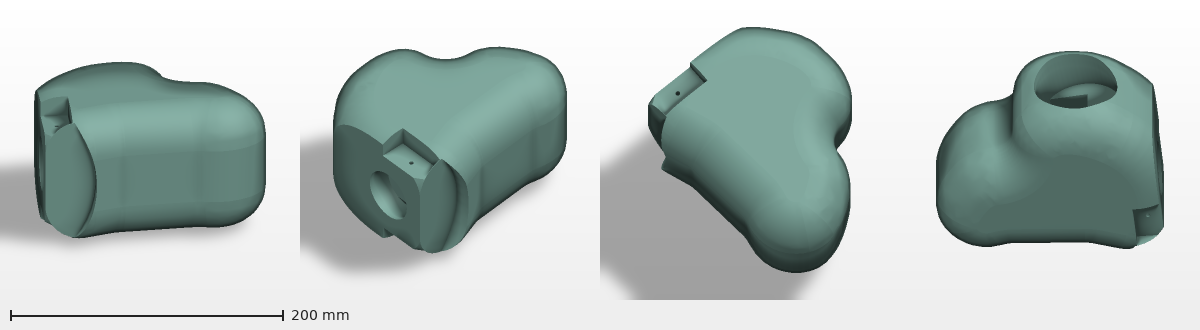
import cadquery as cq
import math

THICKNESS = 100.0
RIM_RADIUS = 30.0
CONVEX_RADIUS = RIM_RADIUS + 0.5

FACE_TILT = 35.0
ALONG_FACE = cq.Vector(math.cos(math.radians(FACE_TILT)), -math.sin(math.radians(FACE_TILT)), 0)
INTO_BLOCK = cq.Vector(math.sin(math.radians(FACE_TILT)), math.cos(math.radians(FACE_TILT)), 0)
FACE_PLANE = cq.Plane(origin=(0, 0, 0), xDir=ALONG_FACE, normal=-INTO_BLOCK)
CLEARANCE = 200.0

HEEL_CENTER = (2.0, CONVEX_RADIUS)
LOWER_TAIL_ANGLE = 75.0
UPPER_TAIL_ANGLE = 60.0
NECK_ANGLE = 40.0
TAIL_BEND = (37.0, 43.3)
TAIL_BEND_RADIUS = 14.0
NECK_CORNER = (65.3, 92.6)
NECK_RADIUS = 24.6
RIGHT_LOBE_RADIUS = 38.3
RIGHT_LOBE_END_ANGLE = 30.0
TIP_END_ANGLE = 72.0
TOP_CREST = [(49.5, 160.5), (35.0, 161.26), (17.1, 158.5), (7.4, 153.3)]
CLEFT_CENTER = (-14.6, 155.1)
CLEFT_START_ANGLE = -38.0
SHOULDER_CENTER = (-37.0, 113.4)
SHOULDER_END_ANGLE = 98.5
LEFT_LOBE = [(-56.8, 136.6), (-66.8, 127.0), (-75.3, 113.4), (-79.3, 105.2), (-82.1, 90.5)]
BELLY_RADIUS = 80.0
BELLY_CENTER = (-1.0, BELLY_RADIUS)
BELLY_START_ANGLE = 186.0

RECESS_RADIUS = 75.0
RECESS_CREST = 36.8

NOTCH_WIDTH = 40.0
NOTCH_DEPTH = 20.0
NOTCH_END_WALL = 0.2
NOTCH_FLOOR = 35.0
PIN_DIAMETER = 3.4
PIN_DEPTH = 15.0

FACE_BORE_DIAMETER = 40.0
FACE_BORE_OFFSET = 34.2
FACE_BORE_DEPTH = 18.0

SIDE_BORE_DIAMETER = 60.0
SIDE_BORE_TILT = 40.0
SIDE_BORE_END = (-33.3, 84.0)
SIDE_BORE_STEP = 20.0
CHAMBER_HEIGHT = 36.0
CHAMBER_SILL = 4.2
CHAMBER_LIP = 2.4
CHAMBER_ROOF_ANGLE = 7.0
CHAMBER_LEDGE_ANGLE = 30.0
CHAMBER_LEDGE_LENGTH = 14.5
CHAMBER_FACE_RIGHT = -29.0
CHAMBER_FACE_LEFT = -58.0


def polar(center, radius, degrees):
    a = math.radians(degrees)
    return (center[0] + radius * math.cos(a), center[1] + radius * math.sin(a))


def bend(corner, radius, angle_in, angle_out):
    """Start, middle and end of the arc that rounds a corner between two headings."""
    half_turn = (angle_out - angle_in) / 2
    reach = radius * math.tan(math.radians(abs(half_turn)))
    start = polar(corner, -reach, angle_in)
    side = math.copysign(90, half_turn)
    center = polar(start, radius, angle_in + side)
    middle = polar(center, radius, angle_in - side + half_turn)
    return start, middle, polar(corner, reach, angle_out)


def heading(degrees):
    return polar((0, 0), 1, degrees)


def outline():
    tail = bend(TAIL_BEND, TAIL_BEND_RADIUS, LOWER_TAIL_ANGLE, UPPER_TAIL_ANGLE)
    neck = bend(NECK_CORNER, NECK_RADIUS, UPPER_TAIL_ANGLE, NECK_ANGLE)
    heel_end = LOWER_TAIL_ANGLE - 90
    lobe_center = polar(neck[2], RIGHT_LOBE_RADIUS, NECK_ANGLE + 90)
    tip_center = polar(lobe_center, RIGHT_LOBE_RADIUS - CONVEX_RADIUS, RIGHT_LOBE_END_ANGLE)
    dip = (CLEFT_CENTER[0] - SHOULDER_CENTER[0], CLEFT_CENTER[1] - SHOULDER_CENTER[1])
    cleft_radius = math.hypot(*dip) - CONVEX_RADIUS
    shoulder_start = math.degrees(math.atan2(dip[1], dip[0]))
    cleft_top = polar(CLEFT_CENTER, cleft_radius, CLEFT_START_ANGLE)
    shoulder_top = polar(SHOULDER_CENTER, CONVEX_RADIUS, shoulder_start)
    cleft_middle = (CLEFT_START_ANGLE + shoulder_start - 180) / 2
    shoulder_middle = (shoulder_start + SHOULDER_END_ANGLE) / 2
    belly_middle = (BELLY_START_ANGLE + 270) / 2
    return (
        cq.Workplane("XY", origin=(0, 0, -THICKNESS / 2))
        .moveTo(*polar(BELLY_CENTER, BELLY_RADIUS, 270))
        .lineTo(*polar(HEEL_CENTER, CONVEX_RADIUS, -90))
        .threePointArc(
            polar(HEEL_CENTER, CONVEX_RADIUS, (heel_end - 90) / 2),
            polar(HEEL_CENTER, CONVEX_RADIUS, heel_end),
        )
        .lineTo(*tail[0])
        .threePointArc(*tail[1:])
        .lineTo(*neck[0])
        .threePointArc(*neck[1:])
        .threePointArc(
            polar(lobe_center, RIGHT_LOBE_RADIUS, (NECK_ANGLE - 90 + RIGHT_LOBE_END_ANGLE) / 2),
            polar(lobe_center, RIGHT_LOBE_RADIUS, RIGHT_LOBE_END_ANGLE),
        )
        .threePointArc(
            polar(tip_center, CONVEX_RADIUS, (RIGHT_LOBE_END_ANGLE + TIP_END_ANGLE) / 2),
            polar(tip_center, CONVEX_RADIUS, TIP_END_ANGLE),
        )
        .spline(
            TOP_CREST + [cleft_top],
            tangents=[heading(TIP_END_ANGLE + 90), heading(CLEFT_START_ANGLE - 90)],
            includeCurrent=True,
        )
        .threePointArc(polar(CLEFT_CENTER, cleft_radius, cleft_middle), shoulder_top)
        .threePointArc(
            polar(SHOULDER_CENTER, CONVEX_RADIUS, shoulder_middle),
            polar(SHOULDER_CENTER, CONVEX_RADIUS, SHOULDER_END_ANGLE),
        )
        .spline(
            LEFT_LOBE + [polar(BELLY_CENTER, BELLY_RADIUS, BELLY_START_ANGLE)],
            tangents=[heading(SHOULDER_END_ANGLE + 90), heading(BELLY_START_ANGLE + 90)],
            includeCurrent=True,
        )
        .threePointArc(
            polar(BELLY_CENTER, BELLY_RADIUS, belly_middle),
            polar(BELLY_CENTER, BELLY_RADIUS, 270),
        )
        .close()
    )


def rounded_block():
    return outline().extrude(THICKNESS).faces("<Z or >Z").edges().fillet(RIM_RADIUS)


def cut_mounting_face(block):
    below_face = cq.Workplane(FACE_PLANE).rect(2 * CLEARANCE, 2 * CLEARANCE).extrude(CLEARANCE)
    return block.cut(below_face)


def cut_hinge_recess(block):
    """Arched recess whose floor is square to the mounting face and meets it at the origin."""
    floor = cq.Plane(origin=(0, 0, 0), xDir=INTO_BLOCK, normal=ALONG_FACE)
    arch = (
        cq.Workplane(floor)
        .center(RECESS_CREST - RECESS_RADIUS, 0)
        .circle(RECESS_RADIUS)
        .extrude(CLEARANCE)
    )
    return block.cut(arch)


def cut_notches(block):
    """Equal notches over and under the tongue, each with a blind pin hole in its floor."""
    notch_height = THICKNESS / 2 - NOTCH_FLOOR
    notch_middle = -NOTCH_END_WALL - NOTCH_WIDTH / 2
    pin_place = ALONG_FACE * notch_middle + INTO_BLOCK * (NOTCH_DEPTH / 2)
    for side in (1, -1):
        notch = (
            cq.Workplane(FACE_PLANE)
            .center(notch_middle, side * (NOTCH_FLOOR + notch_height / 2))
            .rect(NOTCH_WIDTH, notch_height)
            .extrude(-NOTCH_DEPTH)
        )
        pin_hole = (
            cq.Workplane("XY", origin=(pin_place.x, pin_place.y, side * NOTCH_FLOOR))
            .circle(PIN_DIAMETER / 2)
            .extrude(-side * PIN_DEPTH)
        )
        block = block.cut(notch).cut(pin_hole)
    return block


def cut_face_bore(block):
    bore = (
        cq.Workplane(FACE_PLANE)
        .center(-FACE_BORE_OFFSET, 0)
        .circle(FACE_BORE_DIAMETER / 2)
        .extrude(-FACE_BORE_DEPTH)
    )
    return block.cut(bore)


def chamber_slab(points):
    flat = cq.Workplane("XY", origin=(0, 0, -CHAMBER_HEIGHT / 2)).polyline(points).close()
    return flat.extrude(CHAMBER_HEIGHT)


def side_bore_point(along, across):
    """Plan position from the deep end of the side bore: along its axis and square to it."""
    on_axis = polar(SIDE_BORE_END, along, -SIDE_BORE_TILT)
    return polar(on_axis, across, 90 - SIDE_BORE_TILT)


def face_bore_floor_point(along):
    place = ALONG_FACE * along + INTO_BLOCK * FACE_BORE_DEPTH
    return (place.x, place.y)


def side_bore_cylinder(end):
    """Bore cylinder that opens through the left lobe and ends flat at a distance along its axis."""
    axis = heading(-SIDE_BORE_TILT)
    end_point = side_bore_point(end, 0)
    end_plane = cq.Plane(origin=(*end_point, 0), normal=(*axis, 0))
    return cq.Workplane(end_plane).circle(SIDE_BORE_DIAMETER / 2).extrude(-CLEARANCE)


def cut_side_bore(block):
    """Round bore to its step, then only its upper part within the chamber height."""
    bore_radius = SIDE_BORE_DIAMETER / 2
    deep_part = chamber_slab(
        [
            side_bore_point(-SIDE_BORE_STEP, -CHAMBER_SILL),
            side_bore_point(0, -CHAMBER_SILL),
            side_bore_point(0, bore_radius),
            side_bore_point(-SIDE_BORE_STEP, bore_radius),
        ]
    )
    deep_part = deep_part.intersect(side_bore_cylinder(0))
    return block.cut(side_bore_cylinder(-SIDE_BORE_STEP)).cut(deep_part)


def cut_chamber(block):
    """Flat chamber from the side bore to the face bore; its far wall runs along the tail."""
    roof_start = side_bore_point(0, SIDE_BORE_DIAMETER / 2 - CHAMBER_LIP)
    face_right = face_bore_floor_point(CHAMBER_FACE_RIGHT)
    roof = math.radians(CHAMBER_ROOF_ANGLE)
    wall = math.radians(UPPER_TAIL_ANGLE)
    wall_foot = polar(face_right, CHAMBER_LEDGE_LENGTH, CHAMBER_LEDGE_ANGLE)
    across = wall_foot[0] - roof_start[0]
    rise = wall_foot[1] - roof_start[1]
    roof_length = (across * math.sin(wall) - rise * math.cos(wall)) / math.sin(wall - roof)
    chamber = chamber_slab(
        [
            side_bore_point(-SIDE_BORE_STEP, -CHAMBER_SILL),
            side_bore_point(0, -CHAMBER_SILL),
            roof_start,
            polar(roof_start, roof_length, CHAMBER_ROOF_ANGLE),
            wall_foot,
            face_right,
            face_bore_floor_point(CHAMBER_FACE_LEFT),
        ]
    )
    return block.cut(chamber)


result = rounded_block()
for cut_feature in (
    cut_mounting_face,
    cut_hinge_recess,
    cut_notches,
    cut_face_bore,
    cut_side_bore,
    cut_chamber,
):
    result = cut_feature(result)